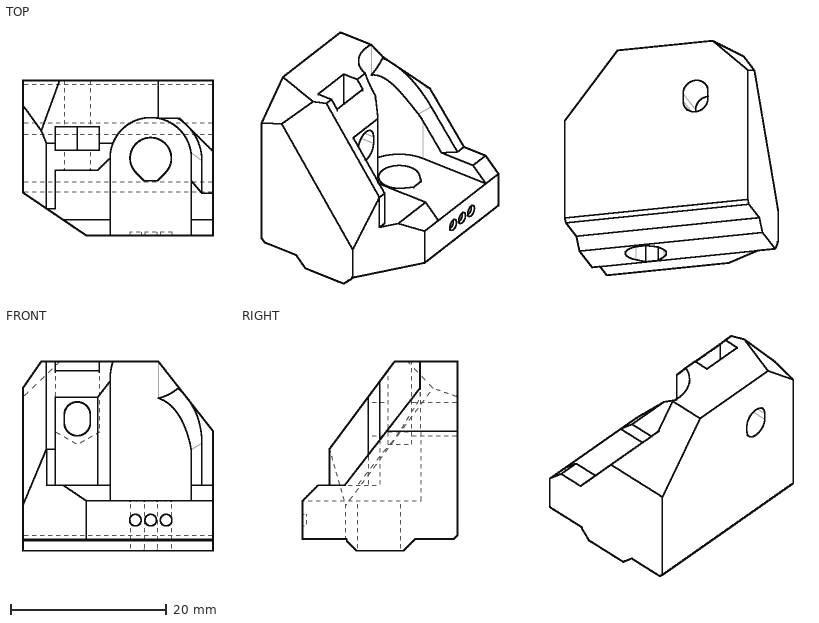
import cadquery as cq
import math

LENGTH = 24.5
DEPTH = 20.0
HEIGHT = 24.4
CLEAR = 4.9

BASE_BOTTOM = 1.5
LEDGE_Z = 8.45
LIP_CHAMFER = 2.03
BACK_CHAMFER = 0.5
TONGUE_FRONT = 5.68
TONGUE_BACK = 14.3
TONGUE_TAPER = 1.27

TOP_FRONT_Y = 11.88
STEP_Y = 3.48
SLOPE = 1.344
STEP_Z = HEIGHT - SLOPE * (TOP_FRONT_Y - STEP_Y)

LEFT_RIM_X = 3.05
CORNER_X = 8.18
CORNER_Y = 5.54
SIDE_BEVEL_Z = 5.85
CREST_X = 4.73
CREST_Z = 19.85
CREST_SLOPE = 0.351

BORE_X = 16.46
BORE_Y = 9.97
BORE_R = 5.25
BORE_FLOOR = LEDGE_Z - LIP_CHAMFER
DRAIN_R = 2.65
DRAIN_FLAT = 2.9

RIGHT_BEVEL_X = 17.45
RIGHT_BEVEL_Z = 15.4
RIGHT_FRONT_LOW_Y = 5.46
RIGHT_FRONT_HIGH_Y = 10.85
FLARE_BACK_Y = BORE_Y + math.sqrt(BORE_R**2 - (RIGHT_BEVEL_X - BORE_X)**2)
FLARE_WIDTH = 1.35
FLARE_DEPTH = 1.25
FLARE_STRAIGHT = 6.85
FLARE_INNER_RISE = 6.5
FLARE_OUTER_RISE = 10.54
FLARE_INNER_GROWTH = -0.4
FLARE_OUTER_GROWTH = 2

RECESS_LEFT = 4.2
RECESS_RIGHT = 9.65
RECESS_Y = 8.45
SLOT_X = 7.0
SLOT_WIDTH = 3.33
SLOT_LOW_Z = 14.82
SLOT_HIGH_Z = 19.15
NUT_WIDTH = 5.68
NUT_FRONT_Y = 11.0
NUT_BACK_Y = 14.01

DIMPLE_D = 1.5
DIMPLE_PITCH = 1.98
DIMPLE_Z = 3.95
DIMPLE_DEPTH = 0.5


def prism_x(points, x_start, x_end):
    """Extrude a YZ outline along X."""
    return cq.Workplane("YZ", origin=(x_start, 0, 0)).polyline(points).close().extrude(x_end - x_start)


def prism_y(points, y_start, y_end):
    """Extrude an XZ outline along +Y."""
    return cq.Workplane("XZ", origin=(0, y_start, 0)).polyline(points).close().extrude(y_start - y_end)


def prism_z(points, z_start, z_end):
    """Extrude an XY outline along Z."""
    return cq.Workplane("XY", origin=(0, 0, z_start)).polyline(points).close().extrude(z_end - z_start)


def box(x_start, x_end, y_start, y_end, z_start, z_end):
    """Axis-aligned box between the given limits."""
    size = (x_end - x_start, y_end - y_start, z_end - z_start)
    return cq.Workplane("XY").box(*size, centered=False).translate((x_start, y_start, z_start))


def half_space(origin, along, normal):
    """Large block on the side of a plane that its normal points to."""
    reach = 4 * LENGTH
    return cq.Workplane(cq.Plane(origin, along, normal)).rect(reach, reach).extrude(reach)


def make_body():
    """Side profile with the sloped front, lip and tongue."""
    return prism_x([
        (0, BASE_BOTTOM),
        (TONGUE_FRONT, BASE_BOTTOM),
        (TONGUE_FRONT, TONGUE_TAPER),
        (TONGUE_FRONT + TONGUE_TAPER, 0),
        (TONGUE_BACK - TONGUE_TAPER, 0),
        (TONGUE_BACK + BASE_BOTTOM - TONGUE_TAPER, BASE_BOTTOM),
        (DEPTH - BACK_CHAMFER, BASE_BOTTOM),
        (DEPTH, BASE_BOTTOM + BACK_CHAMFER),
        (DEPTH, HEIGHT),
        (TOP_FRONT_Y, HEIGHT),
        (STEP_Y, STEP_Z),
        (STEP_Y, LEDGE_Z),
        (LIP_CHAMFER, LEDGE_Z),
        (0, BORE_FLOOR),
    ], 0, LENGTH)


def left_bevels():
    """Cutters for the front corner, the sloped side and the crest of the left side."""
    corner = prism_z([(0, 0), (CORNER_X, 0), (0, CORNER_Y)], -CLEAR, HEIGHT + CLEAR)
    side_rise = (STEP_Z - SIDE_BEVEL_Z + SLOPE * (CORNER_Y - STEP_Y)) / LEFT_RIM_X
    side = half_space((0, CORNER_Y, SIDE_BEVEL_Z), (0, 1, SLOPE), (-side_rise, -SLOPE, 1))
    side = side.intersect(box(-CLEAR, LEFT_RIM_X, -CLEAR, DEPTH + CLEAR, 0, HEIGHT + CLEAR))
    crest_rise = (HEIGHT - CREST_Z) / CREST_X
    crest = half_space((0, DEPTH, CREST_Z), (0, 1, -CREST_SLOPE), (-crest_rise, CREST_SLOPE, 1))
    return [corner, side, crest]


def bore_and_drain():
    """Round-backed channel and the flat-tipped teardrop hole in its floor."""
    start = cq.Workplane("XY", origin=(BORE_X, BORE_Y, BORE_FLOOR))
    channel = start.circle(BORE_R).extrude(HEIGHT)
    channel = channel.union(box(BORE_X - BORE_R, BORE_X + BORE_R, -CLEAR, BORE_Y, BORE_FLOOR, HEIGHT + CLEAR))
    tangent = DRAIN_R * math.sqrt(0.5)
    flat_half = 2 * tangent - DRAIN_FLAT
    tip = [(-tangent, -tangent), (-flat_half, -DRAIN_FLAT), (flat_half, -DRAIN_FLAT), (tangent, -tangent), (0, 0)]
    drain = cq.Workplane("XY").circle(DRAIN_R).extrude(LEDGE_Z)
    drain = drain.union(prism_z(tip, 0, LEDGE_Z)).translate((BORE_X, BORE_Y, 0))
    return [channel, drain]


def right_wall_cuts():
    """Side bevel, set-back sloped front and flared bore edge of the right wall."""
    bevel = prism_y([(RIGHT_BEVEL_X, HEIGHT), (LENGTH, HEIGHT), (LENGTH, RIGHT_BEVEL_Z)], -CLEAR, DEPTH + CLEAR)
    run = RIGHT_FRONT_HIGH_Y - RIGHT_FRONT_LOW_Y
    rise = RIGHT_BEVEL_Z - LEDGE_Z
    slope_top_z = LEDGE_Z + (FLARE_BACK_Y - RIGHT_FRONT_LOW_Y) * rise / run
    front = prism_x([
        (0, LEDGE_Z),
        (RIGHT_FRONT_LOW_Y, LEDGE_Z),
        (FLARE_BACK_Y, slope_top_z),
        (FLARE_BACK_Y, HEIGHT),
        (0, HEIGHT),
    ], BORE_X, LENGTH)

    slope_length = math.hypot(run, rise)
    normal = cq.Vector(0, -rise / slope_length, run / slope_length)
    surface = cq.Vector(BORE_X, RIGHT_FRONT_LOW_Y, LEDGE_Z)

    def flare_outline(growth):
        """Profile at a fraction of the flare: 0 at its inner edge, 1 at the sloped front."""
        half_width = BORE_R + growth * FLARE_WIDTH
        arc_rise = FLARE_INNER_RISE + growth * (FLARE_OUTER_RISE - FLARE_INNER_RISE)
        plane = cq.Plane(surface + normal * (growth - 1) * FLARE_DEPTH, (1, 0, 0), normal)
        outline = cq.Workplane(plane).moveTo(0, -LENGTH).lineTo(half_width, -LENGTH)
        outline = outline.lineTo(half_width, FLARE_STRAIGHT)
        outline = outline.ellipseArc(half_width, arc_rise, 0, 90, startAtCurrent=True)
        return outline.close().val()

    inner = flare_outline(FLARE_INNER_GROWTH)
    outer = flare_outline(FLARE_OUTER_GROWTH)
    flare = cq.Workplane(cq.Solid.makeLoft([inner, outer], True))
    flare = flare.intersect(box(BORE_X, LENGTH, 0, FLARE_BACK_Y, LEDGE_Z, HEIGHT))
    return [bevel, front, flare]


def screw_cuts():
    """Recess in the sloped front, screw slot through the back and nut trap."""
    bore_left = BORE_X - BORE_R
    recess = prism_z([
        (RECESS_LEFT, -CLEAR),
        (RECESS_LEFT, RECESS_Y),
        (RECESS_RIGHT, RECESS_Y),
        (bore_left, BORE_Y),
        (BORE_X, BORE_Y),
        (BORE_X, -CLEAR),
    ], LEDGE_Z, HEIGHT + CLEAR)
    slot_middle = (SLOT_LOW_Z + SLOT_HIGH_Z) / 2
    slot = cq.Workplane("XZ", origin=(SLOT_X, 0, slot_middle))
    slot = slot.slot2D(SLOT_HIGH_Z - SLOT_LOW_Z, SLOT_WIDTH, 90).extrude(-DEPTH - CLEAR)
    nut_half = NUT_WIDTH / 2
    corner_rise = nut_half / math.sqrt(3)
    nut_trap = prism_y([
        (SLOT_X, slot_middle - 2 * corner_rise),
        (SLOT_X + nut_half, slot_middle - corner_rise),
        (SLOT_X + nut_half, HEIGHT + CLEAR),
        (SLOT_X - nut_half, HEIGHT + CLEAR),
        (SLOT_X - nut_half, slot_middle - corner_rise),
    ], NUT_FRONT_Y, NUT_BACK_Y)
    return [recess, slot, nut_trap]


def dimples():
    """Row of blind round dimples in the front lip, centred under the bore."""
    centres = [(BORE_X + step * DIMPLE_PITCH, DIMPLE_Z) for step in (-1, 0, 1)]
    return [cq.Workplane("XZ").pushPoints(centres).circle(DIMPLE_D / 2).extrude(-DIMPLE_DEPTH)]


result = make_body()
for cutter in left_bevels() + bore_and_drain() + right_wall_cuts() + screw_cuts() + dimples():
    result = result.cut(cutter)